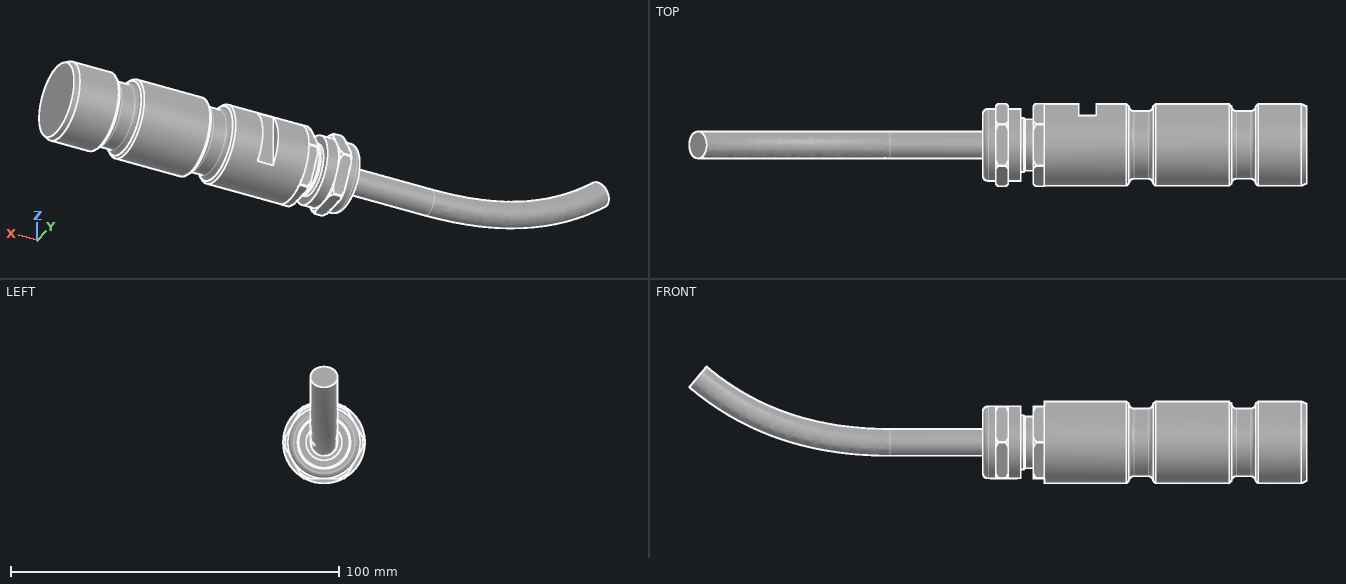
import cadquery as cq
import math

total_length = 188.1

cable_radius = 4.1
bend_start_x = 61.1
bend_angle = 40.0
bend_rise = 20.0
tip_x = cable_radius * math.sin(math.radians(bend_angle))

hex_flats = 22.0
hex_corner_radius = 12.6
hex_chamfer = 0.8

nut_start_x = 89.3
nut_hex_start_x = 93.3
nut_hex_end_x = 97.2
nut_end_x = 101.0
nut_radius = hex_flats / 2
nut_fillet = 1.7
entry_radius = 5.5
entry_depth = 1.9
recess_radius = 8.0
recess_depth = 0.5
recess_chamfer = 0.4

neck_radius = 7.9
ring_radius = 8.3
ring_end_x = 102.3
ring_chamfer = 0.4
gland_hex_start_x = 104.8

housing_start_x = 108.2
housing_diameter = 25.0
housing_radius = housing_diameter / 2
groove_radius = 10.3
groove_width = 7.3
groove_starts_x = (134.0, 165.2)
groove_edge_chamfer = 0.8
groove_root_fillet = 1.5
end_chamfer_length = 1.7
end_chamfer_depth = 0.8
slot_start_x = 118.7
slot_end_x = 124.0
slot_floor_y = 9.0


def cylinder(start_x, end_x, radius):
    """Cylinder about the X axis."""
    return cq.Workplane("YZ", origin=(start_x, 0, 0)).circle(radius).extrude(end_x - start_x)


def hexagon(start_x, end_x, chamfered_ends):
    """Hexagonal prism about the X axis, flats at top and bottom, corners turned to a round blank."""
    corner_diameter = hex_flats / math.cos(math.pi / 6)
    prism = (
        cq.Workplane("YZ", origin=(start_x, 0, 0))
        .polygon(6, corner_diameter)
        .extrude(end_x - start_x)
    )
    blank = (
        cylinder(start_x, end_x, hex_corner_radius)
        .faces(chamfered_ends)
        .edges()
        .chamfer(hex_chamfer)
    )
    return prism.intersect(blank)


def make_cable():
    """Straight run ending against the housing, with an upward bend at its free end."""
    straight = cylinder(bend_start_x, housing_start_x, cable_radius)
    tip_direction = (-math.cos(math.radians(bend_angle)), math.sin(math.radians(bend_angle)))
    path = (
        cq.Workplane("XZ")
        .moveTo(bend_start_x, 0)
        .spline([(tip_x, bend_rise)], tangents=[(-1, 0), tip_direction], includeCurrent=True)
    )
    bend = cq.Workplane("YZ", origin=(bend_start_x, 0, 0)).circle(cable_radius).sweep(path)
    return straight.union(bend)


def make_gland_nut():
    """Round nut with a hexagonal collar, a recessed end face and a wider cable entry."""
    nut = cylinder(nut_start_x, nut_end_x, nut_radius).faces("<X").edges().fillet(nut_fillet)
    nut = nut.union(hexagon(nut_hex_start_x, nut_hex_end_x, "<X or >X"))
    recess = cylinder(nut_start_x, nut_start_x + recess_depth, recess_radius)
    nut = nut.cut(recess.faces(">X").edges().chamfer(recess_chamfer))
    nut = nut.cut(cylinder(nut_start_x, nut_start_x + entry_depth, entry_radius))
    return nut.cut(cylinder(nut_start_x, nut_end_x, cable_radius))


def make_gland_body():
    """Neck between nut and housing, with a chamfered ring at one end and a hexagon at the other."""
    body = cylinder(nut_end_x, gland_hex_start_x, neck_radius)
    ring = cylinder(nut_end_x, ring_end_x, ring_radius).faces(">X").edges().chamfer(ring_chamfer)
    body = body.union(ring)
    body = body.union(hexagon(gland_hex_start_x, housing_start_x, "<X"))
    return body.cut(cylinder(nut_end_x, housing_start_x, cable_radius))


def make_housing():
    """Turned barrel with two filleted grooves and a slot across its +Y side."""
    profile = (
        cq.Workplane("XY")
        .moveTo(housing_start_x, 0)
        .lineTo(housing_start_x, housing_radius)
    )
    wall_radius = housing_radius - groove_edge_chamfer
    for start_x in groove_starts_x:
        end_x = start_x + groove_width
        root_radius = groove_radius + groove_root_fillet
        profile = (
            profile.lineTo(start_x - groove_edge_chamfer, housing_radius)
            .lineTo(start_x, wall_radius)
            .lineTo(start_x, root_radius)
            .radiusArc((start_x + groove_root_fillet, groove_radius), -groove_root_fillet)
            .lineTo(end_x - groove_root_fillet, groove_radius)
            .radiusArc((end_x, root_radius), -groove_root_fillet)
            .lineTo(end_x, wall_radius)
            .lineTo(end_x + groove_edge_chamfer, housing_radius)
        )
    profile = (
        profile.lineTo(total_length - end_chamfer_length, housing_radius)
        .lineTo(total_length, housing_radius - end_chamfer_depth)
        .lineTo(total_length, 0)
        .close()
    )
    housing = profile.revolve(360, (0, 0, 0), (1, 0, 0))
    slot_length = slot_end_x - slot_start_x
    slot = (
        cq.Workplane("XY")
        .box(slot_length, housing_radius, 2 * housing_radius, centered=(False, False, True))
        .translate((slot_start_x, slot_floor_y, 0))
    )
    return housing.cut(slot)


cable = make_cable()
gland_nut = make_gland_nut()
gland_body = make_gland_body()
housing = make_housing()

result = cq.Compound.makeCompound([cable.val(), gland_nut.val(), gland_body.val(), housing.val()])